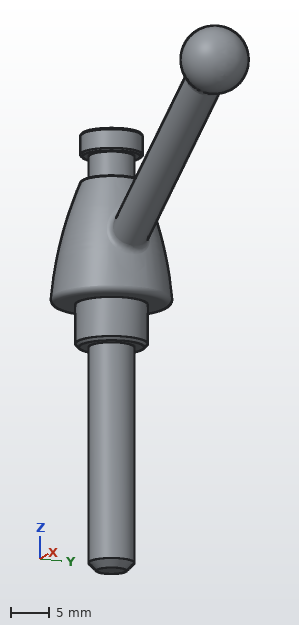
import cadquery as cq
import math

pin_diameter = 6.0
pin_chamfer = 1.05

collar_diameter = 9.5
collar_bottom = 29.95
collar_chamfer = 0.45

body_bottom = 35.6
body_top = 52.15
body_base_diameter = 15.9
body_top_diameter = 8.0
body_bulge = 0.65
base_rounding = 0.8
top_chamfer = 0.2

cap_diameter = 8.2
cap_bottom = 55.5
cap_top = 58.5
cap_chamfer = 0.25

overall_height = 65.5
ball_diameter = 9.0
ball_x = 35.95
lever_diameter = 5.0
lever_angle = 30.0
root_fillet = 1.0
ball_fillet = 1.3


def cylinder(diameter, bottom, top):
    """Upright cylinder on the Z axis between two heights."""
    return cq.Workplane("XY").workplane(offset=bottom).circle(diameter / 2).extrude(top - bottom)


def make_body():
    """Bell-shaped body with a bowed flank, a rounded bottom rim and a chamfered top rim."""
    base_radius = body_base_diameter / 2
    top_radius = body_top_diameter / 2
    flank_bottom = body_bottom + base_rounding
    bow_point = ((base_radius + top_radius) / 2 + body_bulge, (flank_bottom + body_top) / 2)
    rounding_reach = base_rounding * math.sqrt(0.5)
    rounding_point = (
        base_radius - base_rounding + rounding_reach,
        flank_bottom - rounding_reach,
    )
    return (
        cq.Workplane("XZ")
        .moveTo(0, body_bottom)
        .lineTo(base_radius - base_rounding, body_bottom)
        .threePointArc(rounding_point, (base_radius, flank_bottom))
        .threePointArc(bow_point, (top_radius, body_top))
        .lineTo(0, body_top)
        .close()
        .revolve(360, (0, 0), (0, 1))
        .faces(">Z")
        .chamfer(top_chamfer)
    )


def make_lever():
    """Ball and the sloping rod that runs from its centre to the body axis."""
    ball_center = cq.Vector(ball_x, 0, overall_height - ball_diameter / 2)
    slope = math.radians(lever_angle)
    toward_body = cq.Vector(-math.cos(slope), 0, -math.sin(slope))
    rod_length = ball_x / math.cos(slope)
    rod = cq.Solid.makeCylinder(lever_diameter / 2, rod_length, ball_center, toward_body)
    ball = cq.Workplane("XY").sphere(ball_diameter / 2).translate(ball_center)
    radius = ball_diameter / 2
    joint_distance = math.sqrt(radius**2 - (lever_diameter / 2) ** 2)
    joint = ball_center + toward_body * joint_distance
    lever = ball.union(cq.Workplane(obj=rod))
    return lever.edges(cq.NearestToPointSelector(joint.toTuple())).fillet(ball_fillet)


body = make_body().union(make_lever())
root_box = cq.selectors.BoxSelector(
    (lever_diameter / 2, -lever_diameter, body_bottom + lever_diameter),
    (body_base_diameter / 2, lever_diameter, body_top - root_fillet),
    boundingbox=True,
)
body = body.edges(root_box).fillet(root_fillet)

pin = cylinder(pin_diameter, 0, cap_top).faces("<Z").chamfer(pin_chamfer)
collar = cylinder(collar_diameter, collar_bottom, body_bottom).faces("<Z").chamfer(collar_chamfer)
cap = cylinder(cap_diameter, cap_bottom, cap_top).edges().chamfer(cap_chamfer)

result = body.union(pin).union(collar).union(cap)